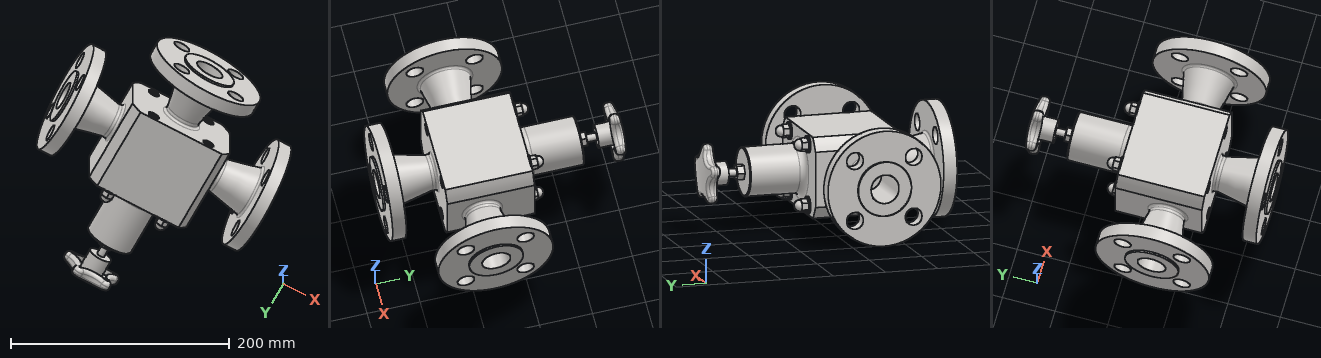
import cadquery as cq
import math

overall_length = 232.0
overall_width = 209.9

flange_diameter = 108.0
flange_thickness = 13.0
raised_face_diameter = 50.8
raised_face_height = 1.9
bore_diameter = 26.7
bolt_hole_diameter = 15.8
bolt_hole_offset = 28.0
neck_diameter = 33.5
neck_straight_end = 5.3
hub_diameter = 48.5
weld_radius = 2.3
hub_fillet_radius = 2.5

block_width = 101.5
block_height = 76.3
block_length = 82.3
block_turned_diameter = 114.0

port_length = (overall_width - block_width) / 2
port_face_y = -86.7
block_front_y = port_face_y + port_length
block_back_y = block_front_y + block_length

stud_offset = 28.5
stud_diameter = 9.5
stud_hole_diameter = 11.0
stud_hole_chamfer = 0.7
stud_recess = 1.0
stud_chamfer = 1.05
stud_centre_diameter = 4.5
washer_diameter = 15.8
washer_thickness = 1.5
nut_width = 11.0
nut_height = 6.0
acorn_diameter = 10.7
acorn_height = 13.5

bonnet_diameter = 45.7
bonnet_length = 53.8
bonnet_chamfer = 1.0
bonnet_fillet = 6.3
lock_nut_width = 12.8
lock_nut_height = 7.0
stem_diameter = 7.5

top_y = port_face_y + overall_length
wheel_thickness = 12.5
wheel_hub_diameter = 22.0
wheel_hub_length = 12.5
arm_count = 5
arm_centre_radius = 23.2
arm_tip_radius = 5.45
valley_radius = 14.5
wheel_dome_radius = 99.7
wheel_lower_fillet = 4.0
wheel_upper_fillet = 2.8
wheel_rim = 4.2
wheel_pocket_depth = 5.8

wheel_bottom_y = top_y - wheel_thickness
bonnet_top_y = block_back_y + bonnet_length
hex_corner_ratio = 2 / math.sqrt(3)


def plane_at(y):
    """Plane normal to +Y whose local X and Y are the part's X and -Z."""
    return cq.Workplane("XZ", origin=(0, y, 0)).transformed(rotate=(180, 0, 0))


def rod(diameter, y_start, y_end):
    return plane_at(y_start).circle(diameter / 2).extrude(y_end - y_start)


def corners(offset):
    return [(x, z) for x in (-offset, offset) for z in (-offset, offset)]


def make_block():
    """Rectangular block whose long edges are turned down to a round."""
    block = plane_at(block_front_y).rect(block_width, block_height).extrude(block_length)
    return block.intersect(rod(block_turned_diameter, block_front_y, block_back_y))


def make_port():
    """Flanged neck pointing along +X, with the block face at X = 0."""
    neck_r, hub_r = neck_diameter / 2, hub_diameter / 2
    flange_front = port_length - raised_face_height
    flange_back = flange_front - flange_thickness
    hub_angle = math.atan2(hub_r - neck_r, flange_back - neck_straight_end)
    tangent = hub_fillet_radius * math.tan((math.pi / 2 - hub_angle) / 2)
    fillet_start = (
        flange_back - tangent * math.cos(hub_angle),
        hub_r - tangent * math.sin(hub_angle),
    )
    weld_mid = weld_radius * (1 - math.sqrt(0.5))
    port = (
        cq.Workplane("XY")
        .lineTo(0, neck_r + weld_radius)
        .threePointArc((weld_mid, neck_r + weld_mid), (weld_radius, neck_r))
        .lineTo(neck_straight_end, neck_r)
        .lineTo(*fillet_start)
        .tangentArcPoint((flange_back, hub_r + tangent), relative=False)
        .lineTo(flange_back, flange_diameter / 2)
        .lineTo(flange_front, flange_diameter / 2)
        .lineTo(flange_front, raised_face_diameter / 2)
        .lineTo(port_length, raised_face_diameter / 2)
        .lineTo(port_length, 0)
        .close()
        .revolve(360, (0, 0, 0), (1, 0, 0))
    )
    bore = cq.Workplane("YZ").circle(bore_diameter / 2).extrude(port_length)
    bolt_holes = (
        cq.Workplane("YZ", origin=(flange_back, 0, 0))
        .pushPoints(corners(bolt_hole_offset))
        .circle(bolt_hole_diameter / 2)
        .extrude(flange_thickness)
    )
    return port.cut(bore).cut(bolt_holes)


def make_bonnet():
    radius = bonnet_diameter / 2
    arc_mid = bonnet_fillet * (1 - math.sqrt(0.5))
    return (
        cq.Workplane("XY", origin=(0, block_back_y, 0))
        .lineTo(radius + bonnet_fillet, 0)
        .threePointArc((radius + arc_mid, arc_mid), (radius, bonnet_fillet))
        .lineTo(radius, bonnet_length - bonnet_chamfer)
        .lineTo(radius - bonnet_chamfer, bonnet_length)
        .lineTo(0, bonnet_length)
        .close()
        .revolve(360, (0, 0, 0), (0, 1, 0))
    )


def make_stem():
    lock_nut = (
        plane_at(bonnet_top_y)
        .polygon(6, lock_nut_width * hex_corner_ratio)
        .extrude(lock_nut_height)
    )
    return lock_nut.union(rod(stem_diameter, bonnet_top_y, wheel_bottom_y))


def make_star(inset, height):
    """Star of round arm tips joined by tangent hollow arcs, drawn in by the inset."""
    tip_radius = arm_tip_radius - inset
    hollow_radius = valley_radius + inset
    reach = hollow_radius + tip_radius
    half_pitch = math.pi / arm_count
    valley_centre_radius = arm_centre_radius * math.cos(half_pitch) + math.sqrt(
        reach**2 - (arm_centre_radius * math.sin(half_pitch)) ** 2
    )

    def polar(radius, angle):
        return (radius * math.sin(angle), -radius * math.cos(angle))

    def tangent_point(arm_angle, valley_angle):
        share = tip_radius / reach
        arm = polar(arm_centre_radius, arm_angle)
        valley = polar(valley_centre_radius, valley_angle)
        return tuple(a + share * (v - a) for a, v in zip(arm, valley))

    star = plane_at(wheel_bottom_y).moveTo(*tangent_point(0, -half_pitch))
    for i in range(arm_count):
        arm = 2 * half_pitch * i
        valley = arm + half_pitch
        next_arm = valley + half_pitch
        arm_tip = polar(arm_centre_radius + tip_radius, arm)
        valley_floor = polar(valley_centre_radius - hollow_radius, valley)
        star = star.threePointArc(arm_tip, tangent_point(arm, valley))
        star = star.threePointArc(valley_floor, tangent_point(next_arm, valley))
    return star.close().extrude(height)


def make_handwheel():
    """Star wheel, domed on top and hollowed underneath around its hub."""
    dome = cq.Workplane("XY", origin=(0, top_y - wheel_dome_radius, 0)).sphere(wheel_dome_radius)
    wheel = make_star(0, 2 * wheel_thickness).intersect(dome)
    wheel = wheel.faces("<Y").edges().fillet(wheel_lower_fillet)
    wheel = wheel.faces(">Y").edges().fillet(wheel_upper_fillet)
    wheel = wheel.cut(make_star(wheel_rim, wheel_pocket_depth))
    hub_end_y = wheel_bottom_y - wheel_hub_length
    return wheel.union(rod(wheel_hub_diameter, hub_end_y, wheel_bottom_y + wheel_pocket_depth))


def make_acorn_nut():
    """Washer, hexagon and domed cap of one stud, on the Y axis."""
    washer_top_y = block_back_y + washer_thickness
    hex_top_y = washer_top_y + nut_height
    cap_radius = acorn_diameter / 2
    cap_centre_y = block_back_y + acorn_height - cap_radius
    hexagon = (
        plane_at(washer_top_y)
        .transformed(rotate=(0, 0, 90))
        .polygon(6, nut_width * hex_corner_ratio)
        .extrude(nut_height)
    )
    return (
        rod(washer_diameter, block_back_y, washer_top_y)
        .union(hexagon)
        .union(rod(acorn_diameter, hex_top_y, cap_centre_y))
        .union(cq.Workplane("XY", origin=(0, cap_centre_y, 0)).sphere(cap_radius))
    )


def make_stud_end_cut():
    """Chamfered hole mouth down to the recessed stud end and its conical centre, on the Y axis."""
    stud_r, centre_r = stud_diameter / 2, stud_centre_diameter / 2
    return (
        cq.Workplane("XY", origin=(0, block_front_y, 0))
        .lineTo(stud_hole_diameter / 2, 0)
        .lineTo(stud_r, stud_hole_chamfer)
        .lineTo(stud_r, stud_recess + stud_chamfer)
        .lineTo(stud_r - stud_chamfer, stud_recess)
        .lineTo(centre_r, stud_recess)
        .lineTo(0, stud_recess + centre_r)
        .close()
        .revolve(360, (0, 0, 0), (0, 1, 0))
    )


body = make_block().union(make_bonnet()).union(make_stem()).union(make_handwheel())

port = make_port()
for angle, seat in (
    (0, (block_width / 2, 0, 0)),
    (180, (-block_width / 2, 0, 0)),
    (-90, (0, block_front_y, 0)),
):
    body = body.union(port.rotate((0, 0, 0), (0, 0, 1), angle).translate(seat))

acorn_nut = make_acorn_nut()
stud_end_cut = make_stud_end_cut()
for x, z in corners(stud_offset):
    body = body.union(acorn_nut.translate((x, 0, z)))
    body = body.cut(stud_end_cut.translate((x, 0, z)))

result = body